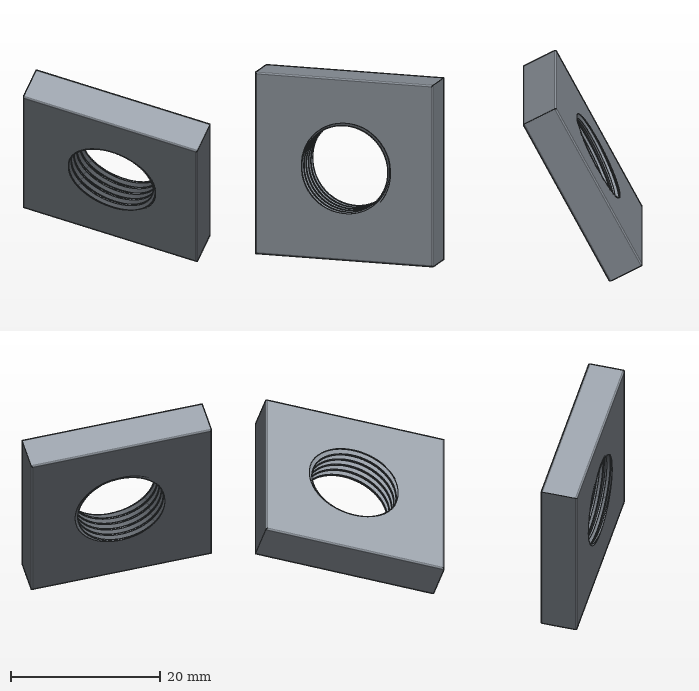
import cadquery as cq
import math

side = 25.0
thickness = 5.0
edge_radius = 0.2

minor_radius = 6.0
pitch = 1.0
flank_angle = math.radians(30)
crest_width = pitch / 4
root_width = pitch / 8
thread_depth = (pitch - crest_width - root_width) / (2 * math.tan(flank_angle))
groove_start_angle = 42.0
bore_overlap = 0.08
turn_count = math.ceil(thickness / pitch) + 1


def make_plate():
    """Square plate with rounded rims around its front and back faces."""
    plate = cq.Workplane("XY").box(side, thickness, side)
    return plate.faces("<Y or >Y").edges().fillet(edge_radius)


def make_bore():
    """Plain cylinder at the thread's minor diameter."""
    return cq.Workplane("XZ").circle(minor_radius).extrude(thickness, both=True)


def make_groove_turn():
    """One turn of the helical groove, a trapezoid section flat at the root."""
    inner_radius = minor_radius - bore_overlap
    root_radius = minor_radius + thread_depth
    half_root = root_width / 2
    half_mouth = half_root + (root_radius - inner_radius) * math.tan(flank_angle)
    helix = cq.Wire.makeHelix(pitch, pitch, minor_radius)
    turn = (
        cq.Workplane("XZ")
        .polyline([
            (inner_radius, -half_mouth),
            (root_radius, -half_root),
            (root_radius, half_root),
            (inner_radius, half_mouth),
        ])
        .close()
        .sweep(cq.Workplane(obj=helix), isFrenet=True)
    )
    turn = turn.rotate((0, 0, 0), (1, 0, 0), -90)
    return turn.rotate((0, 0, 0), (0, 1, 0), 180 - groove_start_angle)


def cut_thread(nut):
    """Cut the groove turn by turn, from half a pitch in front of the plate to behind it."""
    groove_turn = make_groove_turn()
    first_turn_y = -thickness / 2 - pitch / 2
    for index in range(turn_count):
        nut = nut.cut(groove_turn.translate((0, first_turn_y + index * pitch, 0)))
    return nut


result = cut_thread(make_plate().cut(make_bore()))